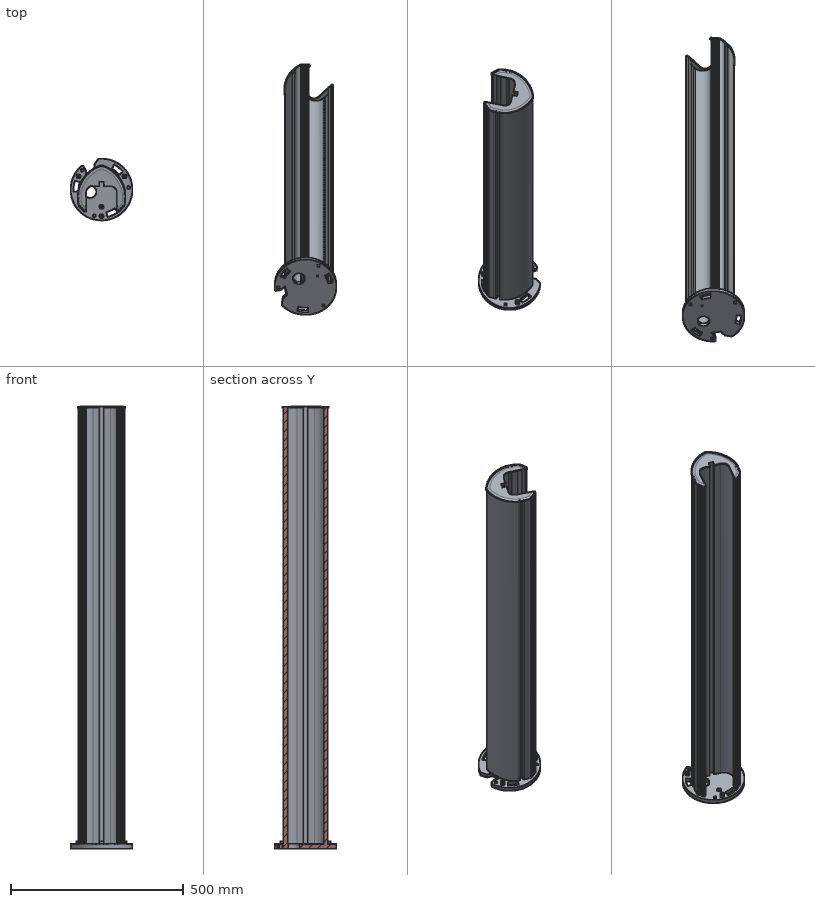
import cadquery as cq
import math

total_height = 1284.0
plate_radius = 90.0
plate_thickness = 14.0
cap_thickness = 4.0
cap_bottom = total_height - cap_thickness

post_half_width = 67.5
arch_apex_y = 69.0
arch_spring_y = -8.0
arch_flank_radius = 97.0
side_groove_top_y = -14.0
side_groove_floor_y = -22.0
side_groove_mouth_y = -25.5
side_groove_depth = 8.0
arm_taper_start_y = -34.0
arm_shoulder = (66.0, -48.0)
arm_nose = (50.0, -65.0)
arm_tip = (44.5, -59.0)
arm_flute_count = 3
arm_flute_width = 4.0
arm_flute_depth = 3.0

channel_half_width = 57.0
channel_back_y = 13.5
channel_corner_radius = 31.0
channel_neck_start_y = -40.0
channel_neck_end_y = -48.0
mouth_half_width = arm_tip[0]
key_groove_half_width = 6.5
key_groove_end_y = 23.0

cap_overhang = 2.0
cap_opening_back_y = 10.0
cap_opening_corner_radius = 19.0
cap_slope_run = 10.0
cap_slope_drop = 1.5

slot_mid_radius = 74.0
slot_width = 14.0
slot_angles = (51.5, 173.0, 294.0)
slot_sweep = 23.0
fixing_hole_diameter = 7.8
fixing_hole_radius = 79.0
fixing_hole_angles = (4.3, 135.0, 254.4)
cable_hole_diameter = 35.0
cable_hole_center = (-33.0, -6.5)
edge_notch = [
    (-60.0, 68.5),
    (-53.0, 68.5),
    (-48.0, 61.0),
    (-44.5, 54.0),
    (-44.5, 40.0),
    (-21.0, 55.0),
    (-21.0, 73.0),
    (-9.0, 89.5),
    (-9.0, 100.0),
    (-60.0, 100.0),
]

screw_head_diameter = 12.0
screw_head_height = 8.0
screw_socket_diameter = 4.4
screw_socket_depth = 4.0
screw_radius = 77.0
screw_angles = (30.0, 150.0, 270.0)

floor_hole_center = (0.0, -50.0)
floor_bore_diameter = 12.0
floor_bore_depth = 8.0
floor_hole_diameter = 4.4


def polar(radius, degrees):
    angle = math.radians(degrees)
    return (radius * math.cos(angle), radius * math.sin(angle))


def mirrored(point):
    return (-point[0], point[1])


def prism(points, height):
    return cq.Workplane("XY").polyline(points).close().extrude(height)


def cylinders(points, diameter, top, depth):
    """Vertical cylinders at the given points, reaching down from the height top by depth."""
    return cq.Workplane("XY", origin=(0, 0, top)).pushPoints(points).circle(diameter / 2).extrude(-depth)


def arch_center():
    """Centre of the right-hand flank arc, which runs from the spring point to the apex."""
    chord_x = -post_half_width
    chord_y = arch_apex_y - arch_spring_y
    chord = math.hypot(chord_x, chord_y)
    distance = math.sqrt(arch_flank_radius**2 - (chord / 2) ** 2)
    x = post_half_width / 2 - distance * chord_y / chord
    y = (arch_spring_y + arch_apex_y) / 2 + distance * chord_x / chord
    return (x, y)


def arch_point(x, overhang):
    """Point at x on the right-hand flank, with the flank moved outwards by overhang."""
    center_x, center_y = arch_center()
    radius = arch_flank_radius + overhang
    return (x, center_y + math.sqrt(radius**2 - (x - center_x) ** 2))


def arch_spring(overhang):
    """Lower end of the right-hand flank, with the flank moved outwards by overhang."""
    center_x, center_y = arch_center()
    radius = arch_flank_radius + overhang
    return (center_x + math.sqrt(radius**2 - (arch_spring_y - center_y) ** 2), arch_spring_y)


def arched_outline(right_side, overhang):
    """Closed symmetric outline: the arch, and below it the right side points on both sides."""
    spring = arch_spring(overhang)
    middle = arch_point(spring[0] / 2, overhang)
    outline = (
        cq.Workplane("XY")
        .moveTo(*spring)
        .threePointArc(middle, arch_point(0.0, overhang))
        .threePointArc(mirrored(middle), mirrored(spring))
    )
    for point in right_side:
        outline = outline.lineTo(*mirrored(point))
    for point in reversed(right_side):
        outline = outline.lineTo(*point)
    return outline.close()


def make_key_groove():
    return (
        cq.Workplane("XY")
        .center(0, key_groove_end_y / 2)
        .rect(2 * key_groove_half_width, key_groove_end_y)
        .extrude(total_height)
    )


def make_passage(half_width, back_y, front_y, corner_radius):
    """Block over the full height with rounded back corners, running from back_y to front_y."""
    return (
        cq.Workplane("XY")
        .center(0, (back_y + front_y) / 2)
        .rect(2 * half_width, back_y - front_y)
        .extrude(total_height)
        .edges("|Z and >Y")
        .fillet(corner_radius)
    )


def make_channel():
    chamber = make_passage(channel_half_width, channel_back_y, channel_neck_start_y, channel_corner_radius)
    neck_side = [
        (channel_half_width, channel_neck_start_y),
        (mouth_half_width, channel_neck_end_y),
        (mouth_half_width, -plate_radius),
    ]
    neck = prism(neck_side + [mirrored(point) for point in reversed(neck_side)], total_height)
    return chamber.union(neck).union(make_key_groove())


def make_arm_flutes():
    """Shallow grooves along Z, evenly spaced on the slanted front face of each arm."""
    run_x = arm_nose[0] - arm_shoulder[0]
    run_y = arm_nose[1] - arm_shoulder[1]
    slant = math.degrees(math.atan2(run_y, run_x))
    flutes = cq.Workplane("XY")
    for index in range(arm_flute_count):
        share = (index + 0.5) / arm_flute_count
        center = (arm_shoulder[0] + share * run_x, arm_shoulder[1] + share * run_y)
        flute = cq.Workplane("XY").rect(arm_flute_width, 2 * arm_flute_depth).extrude(cap_bottom)
        flute = flute.rotate((0, 0, 0), (0, 0, 1), slant).translate((*center, 0))
        flutes = flutes.add(flute).add(flute.mirror("YZ"))
    return flutes.combine()


def make_post():
    groove_x = post_half_width - side_groove_depth
    right_side = [
        (post_half_width, side_groove_top_y),
        (groove_x, side_groove_top_y),
        (groove_x, side_groove_floor_y),
        (post_half_width, side_groove_mouth_y),
        (post_half_width, arm_taper_start_y),
        arm_shoulder,
        arm_nose,
        arm_tip,
    ]
    post = arched_outline(right_side, 0.0).extrude(cap_bottom)
    plate_room = cq.Workplane("XY").circle(plate_radius).extrude(plate_thickness)
    return post.cut(make_channel()).cut(make_arm_flutes()).cut(plate_room)


def make_cap():
    side_x = arch_spring(cap_overhang)[0]
    right_side = [(side_x, arm_taper_start_y), arm_shoulder, arm_nose]
    rim_height = cap_thickness - cap_slope_drop
    slope_angle = math.degrees(math.atan2(cap_slope_run, cap_slope_drop))
    outline = arched_outline(right_side, cap_overhang).val()
    rim = cq.Workplane("XY").add(outline).toPending().extrude(rim_height)
    slope = cq.Workplane("XY").add(outline).toPending().extrude(cap_slope_drop, taper=slope_angle)
    cap = rim.union(slope.translate((0, 0, rim_height))).translate((0, 0, cap_bottom))
    opening = make_passage(mouth_half_width, cap_opening_back_y, -plate_radius, cap_opening_corner_radius)
    return cap.cut(opening).cut(make_key_groove())


def make_slot(angle):
    inner = slot_mid_radius - slot_width / 2
    outer = slot_mid_radius + slot_width / 2
    start = angle - slot_sweep / 2
    end = angle + slot_sweep / 2
    return (
        cq.Workplane("XY")
        .moveTo(*polar(inner, start))
        .threePointArc(polar(inner, angle), polar(inner, end))
        .lineTo(*polar(outer, end))
        .threePointArc(polar(outer, angle), polar(outer, start))
        .close()
        .extrude(plate_thickness)
    )


def make_plate():
    plate = cq.Workplane("XY").circle(plate_radius).extrude(plate_thickness)
    plate = plate.cut(prism(edge_notch, plate_thickness))
    for angle in slot_angles:
        plate = plate.cut(make_slot(angle))
    fixing_points = [polar(fixing_hole_radius, angle) for angle in fixing_hole_angles]
    fixing_holes = cylinders(fixing_points, fixing_hole_diameter, plate_thickness, plate_thickness)
    cable_hole = cylinders([cable_hole_center], cable_hole_diameter, plate_thickness, plate_thickness)
    floor_hole = cylinders([floor_hole_center], floor_hole_diameter, plate_thickness, plate_thickness)
    floor_bore = cylinders([floor_hole_center], floor_bore_diameter, plate_thickness, floor_bore_depth)
    return plate.cut(fixing_holes).cut(cable_hole).cut(floor_hole).cut(floor_bore)


def make_screw_heads():
    points = [polar(screw_radius, angle) for angle in screw_angles]
    head_top = plate_thickness + screw_head_height
    heads = cylinders(points, screw_head_diameter, head_top, screw_head_height)
    sockets = cylinders(points, screw_socket_diameter, head_top, screw_socket_depth)
    return heads.cut(sockets)


result = make_plate().union(make_post()).union(make_cap()).union(make_screw_heads())